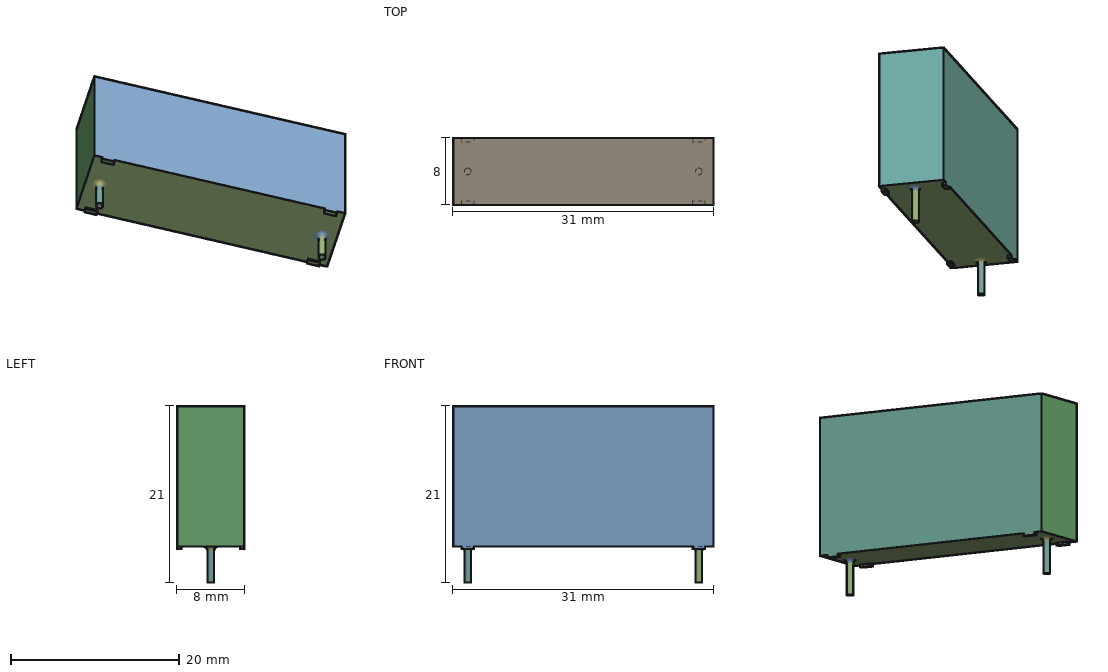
import cadquery as cq
import math

case_length = 31.0
case_width = 8.0
overall_height = 21.0

foot_length = 1.5
foot_width = 0.5
foot_height = 0.3

lead_pitch = 27.5
lead_diameter = 0.8
lead_length = 4.0

collar_radius = 0.5

case_height = overall_height - lead_length - foot_height
lead_positions = [(-lead_pitch / 2, 0), (lead_pitch / 2, 0)]
foot_y = (case_width - foot_width) / 2
foot_positions = [(x, side * foot_y) for x, _ in lead_positions for side in (-1, 1)]


def make_case():
    return (
        cq.Workplane("XY")
        .workplane(offset=foot_height)
        .rect(case_length, case_width)
        .extrude(case_height)
    )


def make_feet():
    return (
        cq.Workplane("XY")
        .pushPoints(foot_positions)
        .rect(foot_length, foot_width)
        .extrude(foot_height)
    )


def make_lead(position):
    """Lead wire that flares through a quarter-circle fillet into the case underside."""
    lead_radius = lead_diameter / 2
    arc_center_r = lead_radius + collar_radius
    arc_center_z = foot_height - collar_radius
    arc_mid_offset = collar_radius * math.sqrt(0.5)
    arc_middle = (arc_center_r - arc_mid_offset, arc_center_z + arc_mid_offset)
    profile = (
        cq.Workplane("XZ")
        .moveTo(0, -lead_length)
        .lineTo(lead_radius, -lead_length)
        .lineTo(lead_radius, arc_center_z)
        .threePointArc(arc_middle, (arc_center_r, foot_height))
        .lineTo(0, foot_height)
        .close()
    )
    return profile.revolve(360, (0, 0, 0), (0, 1, 0)).translate((*position, 0))


result = make_case().union(make_feet())
for lead_position in lead_positions:
    result = result.union(make_lead(lead_position))